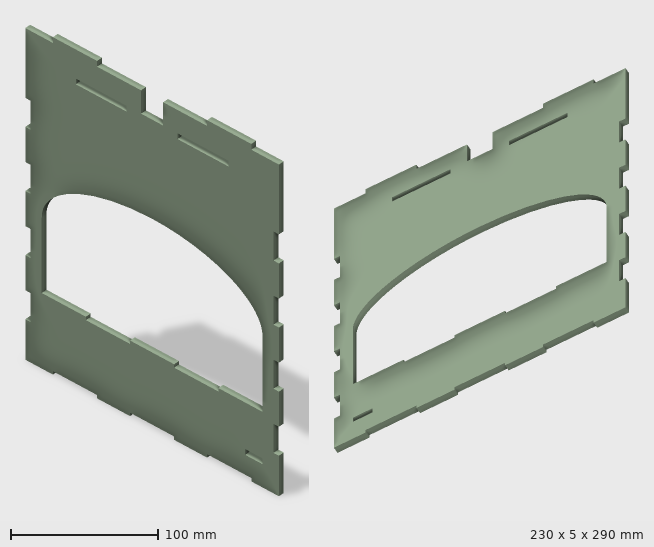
import cadquery as cq

width = 230.0
height = 290.0
thickness = 5.0
half_width = width / 2

finger_length = 40.0
finger_center = 70.0
top_tab_height = thickness
bottom_notch_depth = 3.0
body_top = height - top_tab_height

side_notch_count = 4
side_notch_length = 25.0
side_notch_pitch = 55.0
side_notch_start = 34.8
side_notch_depth = thickness

top_notch_size = 20.0

top_slot_length = 46.0
top_slot_center = 46.0
top_slot_top = body_top - top_notch_size
small_slot_length = 15.7
small_slot_bottom = 20.0

window_half_width = 100.0
window_bottom = 65.0
window_spring = 130.0
window_rise = 50.0
window_finger_center = finger_length
window_notch_depth = 3.0


def block(center_x, bottom, length, tall):
    """Full-thickness rectangular block, centred on Y = 0."""
    return (
        cq.Workplane("XY")
        .box(length, thickness, tall, centered=(True, True, False))
        .translate((center_x, 0, bottom))
    )


def window():
    """Rectangular opening closed on top by half an ellipse."""
    straight = block(0, window_bottom, 2 * window_half_width, window_spring - window_bottom)
    ellipse = (
        cq.Workplane("XZ", origin=(0, 0, window_spring))
        .ellipse(window_half_width, window_rise)
        .extrude(thickness / 2, both=True)
    )
    upper_half = block(0, window_spring, 2 * window_half_width, window_rise)
    return straight.union(ellipse.intersect(upper_half))


panel = block(0, 0, width, body_top)

for side in (-1, 1):
    panel = panel.union(block(side * finger_center, body_top, finger_length, top_tab_height))
    panel = panel.cut(
        block(side * top_slot_center, top_slot_top - thickness, top_slot_length, thickness)
    )
    for index in range(side_notch_count):
        notch_bottom = side_notch_start + index * side_notch_pitch
        notch_center = side * (half_width - side_notch_depth / 2)
        panel = panel.cut(block(notch_center, notch_bottom, side_notch_depth, side_notch_length))

for position in (-1, 0, 1):
    panel = panel.cut(block(position * finger_center, 0, finger_length, bottom_notch_depth))

panel = panel.cut(window())
for side in (-1, 1):
    panel = panel.cut(
        block(
            side * window_finger_center,
            window_bottom - window_notch_depth,
            finger_length,
            window_notch_depth,
        )
    )

panel = panel.cut(block(0, body_top - top_notch_size, top_notch_size, top_notch_size))
small_slot_center = window_half_width - small_slot_length / 2
panel = panel.cut(block(small_slot_center, small_slot_bottom, small_slot_length, thickness))

result = panel